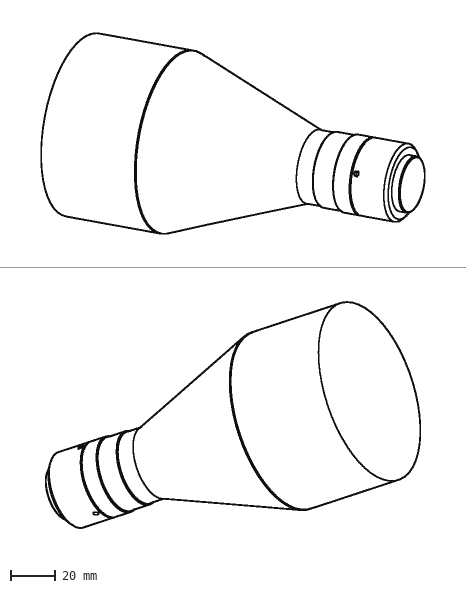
import cadquery as cq
import math

total_length = 166.3
drum_end = 47.5
cone_end = 116.2
neck_end = 124.9
collar_end = 135.4
ring_groove_center = 143.7
cap_end = 162.3

drum_radius = 84.0 / 2
neck_radius = 17.0
collar_radius = 17.5
cap_radius = 18.0
tip_radius = 13.0

seam_width = 0.7
seam_depth = 0.3
step_chamfer = 0.5
cap_chamfer = 1.5
tip_chamfer = 0.5
ring_groove_width = 0.5
ring_groove_depth = 0.5

screw_count = 3
screw_diameter = 2.3
screw_depth = 2.5
screw_station = 146.2
first_screw_angle = 35.5


def make_body():
    """Revolve the stepped half profile about the X axis."""
    profile = [
        (0, 0),
        (0, drum_radius),
        (drum_end - seam_width / 2, drum_radius),
        (drum_end, drum_radius - seam_depth),
        (drum_end + seam_width / 2, drum_radius),
        (cone_end, neck_radius),
        (neck_end - step_chamfer, neck_radius),
        (neck_end, collar_radius),
        (collar_end - step_chamfer, collar_radius),
        (collar_end, cap_radius),
        (cap_end - cap_chamfer, cap_radius),
        (cap_end, cap_radius - cap_chamfer),
        (cap_end, tip_radius),
        (total_length - tip_chamfer, tip_radius),
        (total_length, tip_radius - tip_chamfer),
        (total_length, 0),
    ]
    return cq.Workplane("XY").polyline(profile).close().revolve(360, (0, 0, 0), (1, 0, 0))


def make_ring_groove():
    """Thin ring that cuts the square groove around the cap."""
    return (
        cq.Workplane("YZ", origin=(ring_groove_center - ring_groove_width / 2, 0, 0))
        .circle(cap_radius + ring_groove_depth)
        .circle(cap_radius - ring_groove_depth)
        .extrude(ring_groove_width)
    )


def make_screw_hole(angle):
    """Cylinder that cuts one blind radial hole at the given angle."""
    outward = cq.Vector(0, math.cos(math.radians(angle)), math.sin(math.radians(angle)))
    floor_center = cq.Vector(screw_station, 0, 0) + outward * (cap_radius - screw_depth)
    return cq.Solid.makeCylinder(screw_diameter / 2, 2 * screw_depth, floor_center, outward)


result = make_body().cut(make_ring_groove())
for index in range(screw_count):
    result = result.cut(make_screw_hole(first_screw_angle + index * 360 / screw_count))